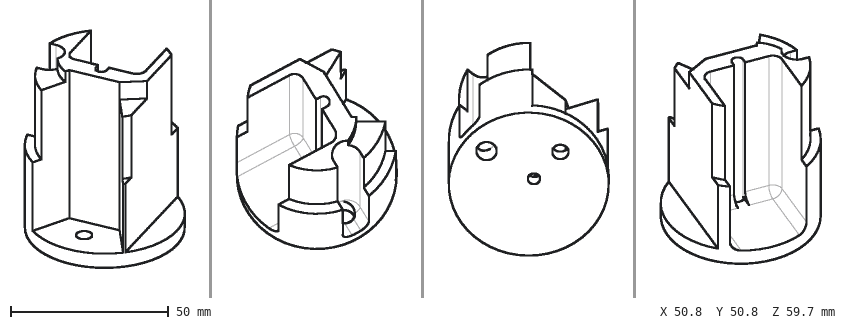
import cadquery as cq
import math

height = 59.7
base_diameter = 50.8
upper_diameter = 44.3
floor_z = 5.25
shoulder_z = 30.45
flat_x = 16.4
edge_radius = 3.15

pocket_width = 26.5
pocket_wall_y = -0.85

groove_diameter = 3.8
groove_y = -2.5

slot_width = 9.55
slot_end_x = -14.55
cable_hole_diameter = 6.45

notch_wall_y = -7.65
notch_wall_width = 17.65
notch_side_angle = 60.0
mount_hole_diameter = 5.15
mount_hole_y = -15.2

left_ledge_depth = 3.8
left_ledge_end = (-9.45, -9.1)
left_ledge_middle = (-13.15, -6.0)
left_ledge_start = (-15.4, -2.5)
right_ledge_depth = 6.4

base_radius = base_diameter / 2
reach = base_diameter
notch_corner_x = notch_wall_width / 2
notch_spread = reach / math.tan(math.radians(notch_side_angle))


def raised_plane(z):
    return cq.Workplane("XY").workplane(offset=z)


def prism(points, bottom):
    """Closed outline extruded from the given level to the top of the part."""
    return raised_plane(bottom).polyline(points).close().extrude(height - bottom)


def through_hole(x, y, diameter):
    return cq.Workplane("XY").center(x, y).circle(diameter / 2).extrude(height)


def make_body():
    base = cq.Workplane("XY").circle(base_radius).extrude(shoulder_z)
    upper = raised_plane(shoulder_z).circle(upper_diameter / 2).extrude(height - shoulder_z)
    flat_cut = raised_plane(floor_z).box(reach, 2 * reach, height, centered=(False, True, False))
    return base.union(upper).cut(flat_cut.translate((flat_x, 0, 0)))


def make_rear_pocket():
    pocket = raised_plane(floor_z).box(pocket_width, reach, height, centered=(True, False, False))
    pocket = pocket.translate((0, pocket_wall_y, 0))
    pocket = pocket.edges("|Z and <Y").fillet(edge_radius)
    return pocket.faces("<Z").edges("not >Y").fillet(edge_radius)


def make_groove():
    length = pocket_wall_y + edge_radius - groove_y
    groove = raised_plane(floor_z).box(groove_diameter, length, height, centered=(True, False, False))
    groove = groove.translate((0, groove_y, 0))
    return groove.union(through_hole(0, groove_y, groove_diameter))


def make_cable_slot():
    radius = slot_width / 2
    centre_x = slot_end_x - radius
    slot = (
        raised_plane(floor_z)
        .moveTo(-reach, -radius)
        .lineTo(centre_x, -radius)
        .threePointArc((slot_end_x, 0), (centre_x, radius))
        .lineTo(-reach, radius)
        .close()
        .extrude(height)
    )
    slot = slot.faces("<Z").edges("not <X").fillet(edge_radius)
    hole_x = slot_end_x - cable_hole_diameter / 2
    return slot.union(through_hole(hole_x, 0, cable_hole_diameter))


def make_front_notch():
    outer_x = notch_corner_x + notch_spread
    outer_y = notch_wall_y - reach
    notch = prism(
        [
            (-notch_corner_x, notch_wall_y),
            (notch_corner_x, notch_wall_y),
            (outer_x, outer_y),
            (-outer_x, outer_y),
        ],
        floor_z,
    )
    return notch.union(through_hole(0, mount_hole_y, mount_hole_diameter))


def make_left_ledge():
    return (
        raised_plane(height - left_ledge_depth)
        .moveTo(*left_ledge_start)
        .threePointArc(left_ledge_middle, left_ledge_end)
        .lineTo(left_ledge_end[0], -reach)
        .lineTo(-reach, -reach)
        .lineTo(-reach, left_ledge_start[1])
        .close()
        .extrude(left_ledge_depth)
    )


def make_right_ledge():
    return prism(
        [
            (notch_corner_x, notch_wall_y),
            (notch_corner_x + reach, notch_wall_y + notch_spread),
            (notch_corner_x + reach, -reach),
            (notch_corner_x, -reach),
        ],
        height - right_ledge_depth,
    )


result = (
    make_body()
    .cut(make_rear_pocket())
    .cut(make_groove())
    .cut(make_cable_slot())
    .cut(make_front_notch())
    .cut(make_left_ledge())
    .cut(make_right_ledge())
)